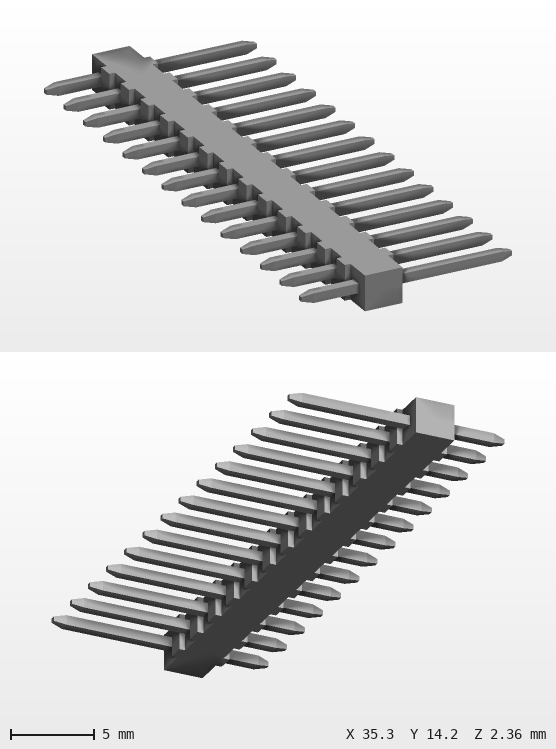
import cadquery as cq


pin_count = 14
pitch = 2.54

body_length = 35.31
body_depth = 2.54
body_height = 2.36

rib_width = 1.07
rib_projection = 0.38
rib_depth = body_depth + 2 * rib_projection

pin_length = 14.22
pin_side = 0.64
tip_length = 0.76
tip_side = 0.3
short_end_projection = 3.77
pin_start_y = -body_depth / 2 - short_end_projection
pin_end_y = pin_start_y + pin_length
shank_length = pin_length - 2 * tip_length


def row_positions(count):
    """X positions of `count` items at the pin pitch, centred on the row."""
    first_x = -(count - 1) * pitch / 2
    return [first_x + i * pitch for i in range(count)]


def make_body():
    return cq.Workplane("XY").box(body_length, body_depth, body_height)


def make_rib(x):
    """Full-height rib passing through the body and projecting from both faces."""
    return cq.Workplane("XY").box(rib_width, rib_depth, body_height).translate((x, 0, 0))


def make_tip(base_y, end_y):
    """Square taper from the pin shank at base_y down to the flat end at end_y."""
    base_plane = cq.Plane(origin=(0, base_y, 0), xDir=(1, 0, 0), normal=(0, end_y - base_y, 0))
    return (
        cq.Workplane(base_plane)
        .rect(pin_side, pin_side)
        .workplane(offset=tip_length)
        .rect(tip_side, tip_side)
        .loft(ruled=True)
    )


def make_pin(x):
    shank_centre_y = (pin_start_y + pin_end_y) / 2
    shank = cq.Workplane("XY").box(pin_side, shank_length, pin_side).translate((0, shank_centre_y, 0))
    front_tip = make_tip(pin_start_y + tip_length, pin_start_y)
    back_tip = make_tip(pin_end_y - tip_length, pin_end_y)
    return shank.union(front_tip).union(back_tip).translate((x, 0, 0))


result = make_body()
for rib_x in row_positions(pin_count - 1):
    result = result.union(make_rib(rib_x))
for pin_x in row_positions(pin_count):
    result = result.union(make_pin(pin_x))